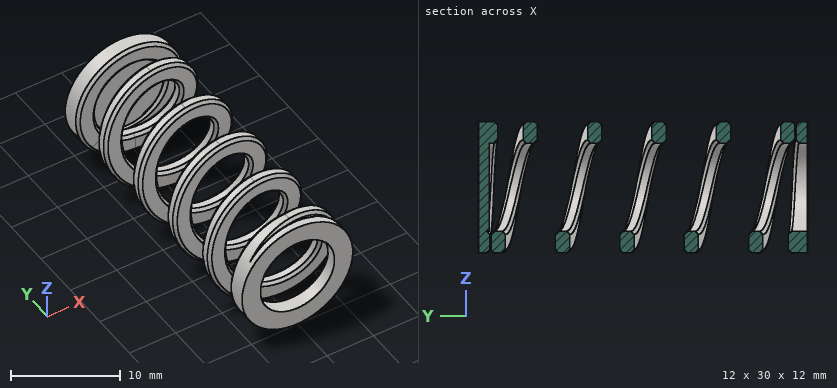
import cadquery as cq

FREE_LENGTH = 30.0
OUTER_DIAMETER = 12.0
INNER_DIAMETER = 8.0
WIRE_HEIGHT = 1.35
WIRE_CHAMFER = 0.3
ACTIVE_TURNS = 4.5
ACTIVE_START = 1.8
END_PITCH = 1.4
CAP_THICKNESS = 1.0

OUTER_RADIUS = OUTER_DIAMETER / 2
INNER_RADIUS = INNER_DIAMETER / 2
MEAN_RADIUS = (OUTER_RADIUS + INNER_RADIUS) / 2
MID_LENGTH = FREE_LENGTH / 2
ACTIVE_PITCH = (FREE_LENGTH - 2 * ACTIVE_START) / ACTIVE_TURNS
SIDE_FLAT = WIRE_HEIGHT - 2 * WIRE_CHAMFER

RUN_OUT_TURNS = (ACTIVE_START + WIRE_HEIGHT) / ACTIVE_PITCH
MERGE_TURNS = (END_PITCH - SIDE_FLAT) / (ACTIVE_PITCH - END_PITCH)
SOLID_DEPTH = ACTIVE_START + WIRE_HEIGHT
SOLID_SPLIT_TURNS = 0.6

HALF_HEIGHT = WIRE_HEIGHT / 2
HALF_FLAT = MEAN_RADIUS - INNER_RADIUS - WIRE_CHAMFER
HALF_SPREAD = HALF_FLAT + HALF_HEIGHT

START_ANGLE = -90.0


def wire_section():
    """Section of the wire at the first point of a coil."""
    return (
        cq.Workplane("XZ")
        .center(MEAN_RADIUS, 0)
        .moveTo(-HALF_SPREAD, 0)
        .lineTo(-HALF_FLAT, HALF_HEIGHT)
        .lineTo(HALF_FLAT, HALF_HEIGHT)
        .lineTo(HALF_SPREAD, 0)
        .lineTo(HALF_FLAT, -HALF_HEIGHT)
        .lineTo(-HALF_FLAT, -HALF_HEIGHT)
        .close()
    )


def solid_section():
    """Section with the top of the wire that reaches down past the ground end face."""
    return (
        cq.Workplane("XZ")
        .center(MEAN_RADIUS, 0)
        .moveTo(-HALF_SPREAD, 0)
        .lineTo(-HALF_FLAT, HALF_HEIGHT)
        .lineTo(HALF_FLAT, HALF_HEIGHT)
        .lineTo(HALF_SPREAD, 0)
        .lineTo(HALF_SPREAD, -SOLID_DEPTH)
        .lineTo(-HALF_SPREAD, -SOLID_DEPTH)
        .close()
    )


def coil(section, pitch, first_turn, last_turn):
    """Section swept between two positions on the helix through the active coil's start."""
    turns = last_turn - first_turn
    helix = cq.Wire.makeHelix(pitch, pitch * turns, MEAN_RADIUS)
    return (
        section.sweep(cq.Workplane(helix), isFrenet=True)
        .rotate((0, 0, 0), (0, 0, 1), START_ANGLE + 360 * first_turn)
        .translate((0, 0, ACTIVE_START + pitch * first_turn))
    )


def active_coil():
    """Open turns of the spring together with their run-outs into both ground ends."""
    return coil(wire_section(), ACTIVE_PITCH, -RUN_OUT_TURNS, ACTIVE_TURNS + RUN_OUT_TURNS)


def end_coil():
    """Closed coil at the lower end, solid down past the ground end face."""
    solid_top = -MERGE_TURNS
    solid_middle = solid_top - SOLID_SPLIT_TURNS
    solid_bottom = solid_top - 1
    start = coil(wire_section(), END_PITCH, solid_top, 0)
    upper_part = coil(solid_section(), END_PITCH, solid_middle, solid_top)
    lower_part = coil(solid_section(), END_PITCH, solid_bottom, solid_middle)
    return start.union(upper_part).union(lower_part)


def envelope():
    """Tube between the inner and outer walls of the spring and its two ground end faces."""
    return (
        cq.Workplane()
        .circle(OUTER_RADIUS)
        .circle(INNER_RADIUS)
        .extrude(FREE_LENGTH)
        .rotate((0, 0, 0), (0, 0, 1), START_ANGLE)
    )


def end_cap():
    """Disc across the bore at the upper end."""
    return (
        cq.Workplane()
        .workplane(offset=FREE_LENGTH - CAP_THICKNESS)
        .circle(INNER_RADIUS)
        .extrude(CAP_THICKNESS)
    )


lower_end = end_coil()
upper_end = lower_end.rotate((0, 0, MID_LENGTH), (1, 0, MID_LENGTH), 180)
untrimmed = active_coil().union(lower_end).union(upper_end)
spring = envelope().intersect(untrimmed).union(end_cap())
result = spring.translate((0, 0, -MID_LENGTH)).rotate((0, 0, 0), (1, 0, 0), -90)